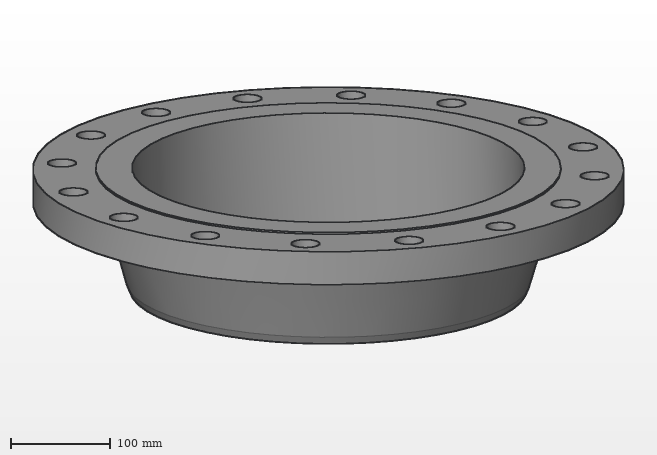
import cadquery as cq
import math

flange_diameter = 597.0
total_height = 127.0
raised_face_diameter = 470.0
raised_face_height = 2.0
plate_thickness = 34.5

bore_diameter = 396.5
hub_top_diameter = 457.0
weld_end_diameter = 401.0
bevel_height = 8.5
bevel_top_diameter = 408.0
hub_fillet_radius = 9.0

bolt_count = 16
bolt_circle_diameter = 539.5
bolt_hole_diameter = 28.5

plate_top = total_height - raised_face_height
plate_bottom = plate_top - plate_thickness


def make_body():
    """Revolve the plate, raised face and hub around the bore axis."""
    bore_radius = bore_diameter / 2
    bevel_top_radius = bevel_top_diameter / 2
    hub_top_radius = hub_top_diameter / 2

    taper_angle = math.atan2(hub_top_radius - bevel_top_radius, plate_bottom - bevel_height)
    corner_angle = math.pi / 2 + taper_angle
    tangent_length = hub_fillet_radius / math.tan(corner_angle / 2)
    fillet_start = (
        hub_top_radius - tangent_length * math.sin(taper_angle),
        plate_bottom - tangent_length * math.cos(taper_angle),
    )
    fillet_end = (hub_top_radius + tangent_length, plate_bottom)

    return (
        cq.Workplane("XZ")
        .moveTo(bore_radius, 0)
        .lineTo(weld_end_diameter / 2, 0)
        .lineTo(bevel_top_radius, bevel_height)
        .lineTo(*fillet_start)
        .tangentArcPoint(fillet_end, relative=False)
        .lineTo(flange_diameter / 2, plate_bottom)
        .lineTo(flange_diameter / 2, plate_top)
        .lineTo(raised_face_diameter / 2, plate_top)
        .lineTo(raised_face_diameter / 2, total_height)
        .lineTo(bore_radius, total_height)
        .close()
        .revolve(360, (0, 0), (0, 1))
    )


def make_bolt_holes():
    """Cylinders on the bolt circle, starting on the X axis."""
    return (
        cq.Workplane("XY")
        .workplane(offset=plate_bottom)
        .polarArray(bolt_circle_diameter / 2, 0, 360, bolt_count)
        .circle(bolt_hole_diameter / 2)
        .extrude(plate_thickness)
    )


result = make_body().cut(make_bolt_holes())